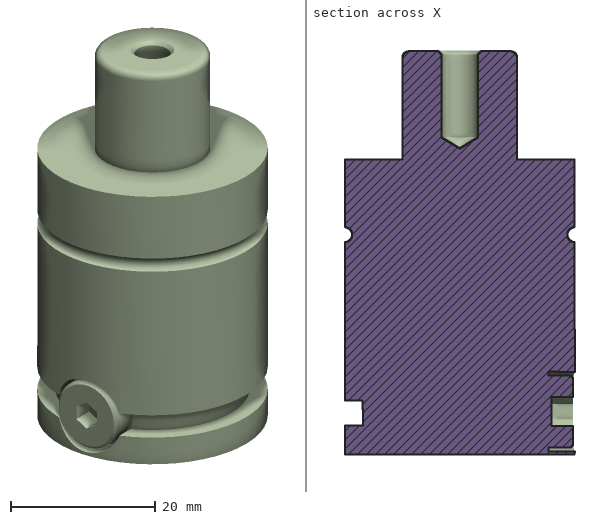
import cadquery as cq
import math

total_height = 56.0
body_diameter = 32.0
body_height = 41.0
body_radius = body_diameter / 2

rod_diameter = 16.0
rod_rounding = 1.0
rod_hole_diameter = 5.0
rod_hole_depth = 12.0
rod_hole_chamfer = 0.5
drill_point_angle = 118.0

round_groove_radius = 1.0
round_groove_height = 30.5
clamp_groove_bottom = 4.1
clamp_groove_top = 7.5
clamp_groove_diameter = 27.0

plug_height = 6.0
plug_diameter = 10.0
plug_chamfer = 0.4
plug_face_inset = 0.2
recess_diameter = 11.0
recess_floor_distance = 12.4
hex_across_flats = 3.5
hex_depth = 3.0


def disc(diameter, bottom, top):
    """Cylinder about the Z axis between two heights."""
    return cq.Workplane("XY").workplane(offset=bottom).circle(diameter / 2).extrude(top - bottom)


def plug_plane(distance):
    """Workplane facing -Y, centred on the plug at a distance from the body axis."""
    return cq.Workplane("XZ", origin=(0, -distance, plug_height))


def make_body():
    body = disc(body_diameter, 0, body_height)
    clamp_groove = disc(body_diameter, clamp_groove_bottom, clamp_groove_top).cut(
        disc(clamp_groove_diameter, clamp_groove_bottom, clamp_groove_top)
    )
    round_groove = cq.Workplane("XY").add(
        cq.Solid.makeTorus(body_radius, round_groove_radius, cq.Vector(0, 0, round_groove_height))
    )
    return body.cut(clamp_groove).cut(round_groove)


def make_rod():
    return disc(rod_diameter, body_height, total_height).faces(">Z").edges().fillet(rod_rounding)


def make_rod_hole():
    """Drilled hole with a conical bottom and a chamfered mouth, as a revolved cutter."""
    radius = rod_hole_diameter / 2
    floor = total_height - rod_hole_depth
    cone_depth = radius / math.tan(math.radians(drill_point_angle / 2))
    return (
        cq.Workplane("XZ")
        .moveTo(0, floor - cone_depth)
        .lineTo(radius, floor)
        .lineTo(radius, total_height - rod_hole_chamfer)
        .lineTo(radius + rod_hole_chamfer, total_height)
        .lineTo(0, total_height)
        .close()
        .revolve(360, (0, 0), (0, 1))
    )


def make_recess():
    depth = body_radius - recess_floor_distance
    return plug_plane(recess_floor_distance).circle(recess_diameter / 2).extrude(depth)


def make_plug():
    face_distance = body_radius - plug_face_inset
    plug = (
        plug_plane(recess_floor_distance)
        .circle(plug_diameter / 2)
        .extrude(face_distance - recess_floor_distance)
        .faces("<Y")
        .edges()
        .chamfer(plug_chamfer)
    )
    hex_across_corners = hex_across_flats / math.cos(math.pi / 6)
    socket = (
        plug_plane(face_distance)
        .transformed(rotate=(0, 0, 90))
        .polygon(6, hex_across_corners)
        .extrude(-hex_depth)
    )
    return plug.cut(socket)


result = make_body().union(make_rod()).cut(make_rod_hole()).cut(make_recess()).union(make_plug())